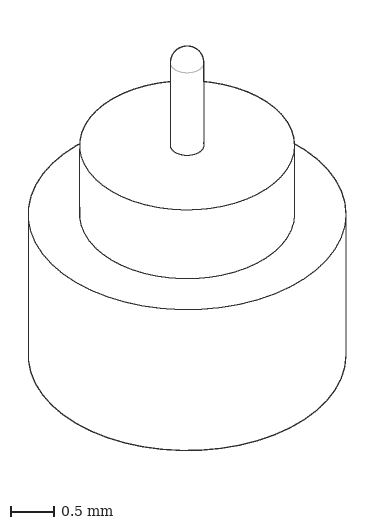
import cadquery as cq

total_height = 4.45
body_diameter = 3.7
body_height = 2.05
collar_diameter = 2.5
collar_height = 1.0
pin_diameter = 0.39

pin_radius = pin_diameter / 2
collar_top = body_height + collar_height
dome_base = total_height - pin_radius


def cylinder(diameter, bottom, top):
    """Upright cylinder on the Z axis between two heights."""
    return cq.Workplane("XY").workplane(offset=bottom).circle(diameter / 2).extrude(top - bottom)


body = cylinder(body_diameter, 0, body_height)
collar = cylinder(collar_diameter, body_height, collar_top)

pin = cylinder(pin_diameter, collar_top, dome_base)
pin_tip = cq.Workplane("XY").sphere(pin_radius).translate((0, 0, dome_base))

result = body.union(collar).union(pin).union(pin_tip)